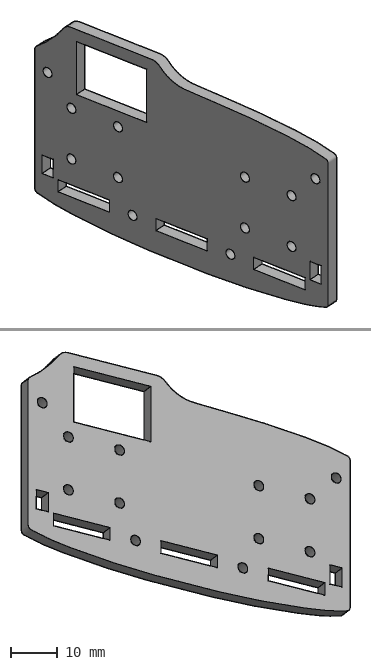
import cadquery as cq

PLATE_WIDTH = 80.0
PLATE_HEIGHT = 48.15
PLATE_THICKNESS = 3.0
HALF_WIDTH = PLATE_WIDTH / 2
CORNER_RADIUS = 1.0

LOWER_CORNER_Z = 3.6
UPPER_RIGHT_CORNER_Z = 40.3
UPPER_LEFT_CORNER_Z = 39.65

LOWER_EDGE_HALF = [(35.3, 2.4), (27.1, 1.25), (14.0, 0.25)]

TAB_LEFT_X = -30.1
TAB_RIGHT_X = -7.95
LEFT_SHOULDER_END = (-32.4, 46.85)
LEFT_FLANK_MIDDLE = (-35.6, 43.2)
RIGHT_SHOULDER_END = (-5.8, 47.1)
RIGHT_FLANK_MIDDLE = (-2.6, 44.8)
RIGHT_FLANK_END = (1.5, 43.9)

UPPER_EDGE_POINTS = [(18.0, 43.3), (28.7, 42.45), (36.3, 41.3)]

HOLE_DIAMETER = 2.4
SIDE_X = 36.5
SIDE_HOLE_Z = 34.55
HOLE_SQUARE_PITCH = 12.7
HOLE_SQUARE_CENTER_X = 23.65
HOLE_SQUARE_CENTER_Z = 21.6

ROW_PITCH = PLATE_WIDTH / 6
ROW_Z = 7.25
SLOT_LENGTH = 14.0
SLOT_WIDTH = 3.0

SIDE_SLOT_HEIGHT = 4.6
SIDE_SLOT_Z = ROW_Z + SLOT_WIDTH / 2 + SIDE_SLOT_HEIGHT / 2

WINDOW_WIDTH = 19.1
WINDOW_HEIGHT = 13.25
WINDOW_CENTER = (-19.1, 38.5)


def make_plate():
    lower_left = [(-x, z) for x, z in LOWER_EDGE_HALF]
    lower_right = list(reversed(LOWER_EDGE_HALF))
    lower_edge = lower_left + [(0, 0)] + lower_right + [(HALF_WIDTH, LOWER_CORNER_Z)]
    upper_edge = list(reversed(UPPER_EDGE_POINTS)) + [RIGHT_FLANK_END]
    plate = (
        cq.Workplane("XZ")
        .moveTo(-HALF_WIDTH, LOWER_CORNER_Z)
        .spline(lower_edge, includeCurrent=True)
        .lineTo(HALF_WIDTH, UPPER_RIGHT_CORNER_Z)
        .spline(upper_edge, includeCurrent=True)
        .threePointArc(RIGHT_FLANK_MIDDLE, RIGHT_SHOULDER_END)
        .tangentArcPoint((TAB_RIGHT_X, PLATE_HEIGHT), relative=False)
        .lineTo(TAB_LEFT_X, PLATE_HEIGHT)
        .tangentArcPoint(LEFT_SHOULDER_END, relative=False)
        .threePointArc(LEFT_FLANK_MIDDLE, (-HALF_WIDTH, UPPER_LEFT_CORNER_Z))
        .close()
        .extrude(-PLATE_THICKNESS)
    )
    for side in ("<X", ">X"):
        plate = plate.faces(side).edges("|Y").fillet(CORNER_RADIUS)
    return plate


def hole_centers():
    centers = []
    half_pitch = HOLE_SQUARE_PITCH / 2
    for side in (-1, 1):
        centers.append((side * SIDE_X, SIDE_HOLE_Z))
        centers.append((side * ROW_PITCH, ROW_Z))
        for dx in (-half_pitch, half_pitch):
            for dz in (-half_pitch, half_pitch):
                centers.append((side * HOLE_SQUARE_CENTER_X + dx, HOLE_SQUARE_CENTER_Z + dz))
    return centers


def make_holes():
    return cq.Workplane("XZ").pushPoints(hole_centers()).circle(HOLE_DIAMETER / 2).extrude(-PLATE_THICKNESS)


def make_rectangles(centers, width, height):
    return cq.Workplane("XZ").pushPoints(centers).rect(width, height).extrude(-PLATE_THICKNESS)


row_slot_centers = [(step * 2 * ROW_PITCH, ROW_Z) for step in (-1, 0, 1)]
side_slot_centers = [(side * SIDE_X, SIDE_SLOT_Z) for side in (-1, 1)]

result = (
    make_plate()
    .cut(make_holes())
    .cut(make_rectangles(row_slot_centers, SLOT_LENGTH, SLOT_WIDTH))
    .cut(make_rectangles(side_slot_centers, SLOT_WIDTH, SIDE_SLOT_HEIGHT))
    .cut(make_rectangles([WINDOW_CENTER], WINDOW_WIDTH, WINDOW_HEIGHT))
)